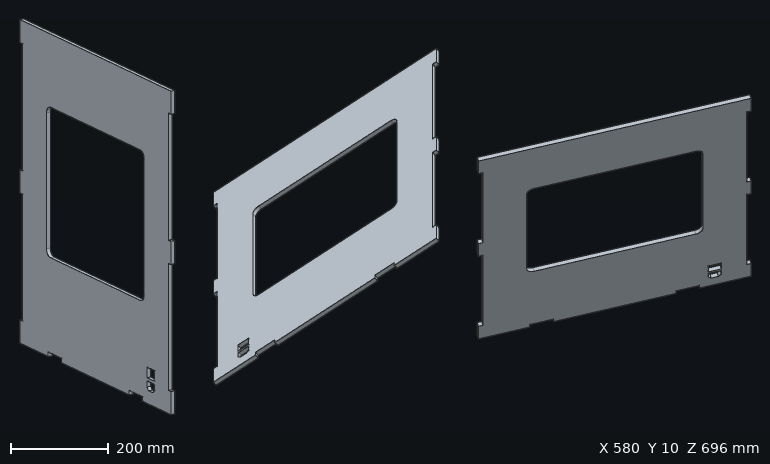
import cadquery as cq

width = 580.0
height = 696.0
thickness = 10.0

joint_length = 50.0
joint_depth = thickness
notch_offset = 155.0

window_width = 374.0
window_height = 323.0
window_top_margin = 158.0
window_radius = 15.0

opening_x = 212.0
opening_width = 28.0
switch_height = 22.0
switch_z = -281.0
socket_height = 19.5
socket_z = -309.0
socket_radius = 3.0
socket_chamfer = 6.0


def through_box(size_x, size_z, x, z):
    """Box through the full panel thickness, centred at (x, z)."""
    return cq.Workplane("XY").box(size_x, thickness, size_z).translate((x, 0, z))


panel = through_box(width, height, 0, 0)

recess_height = (height - 3 * joint_length) / 2
recess_x = (width - joint_depth) / 2
recess_z = (joint_length + recess_height) / 2
notch_z = (joint_depth - height) / 2
for side in (-1, 1):
    for level in (-1, 1):
        panel = panel.cut(through_box(joint_depth, recess_height, side * recess_x, level * recess_z))
    panel = panel.cut(through_box(joint_length, joint_depth, side * notch_offset, notch_z))

window_z = height / 2 - window_top_margin - window_height / 2
window = through_box(window_width, window_height, 0, window_z).edges("|Y").fillet(window_radius)
panel = panel.cut(window)

panel = panel.cut(through_box(opening_width, switch_height, opening_x, switch_z))

socket = through_box(opening_width, socket_height, opening_x, socket_z)
socket = socket.faces(">Z").edges("|Y").fillet(socket_radius)
socket = socket.faces("<Z").edges("|Y").chamfer(socket_chamfer)
panel = panel.cut(socket)

result = panel